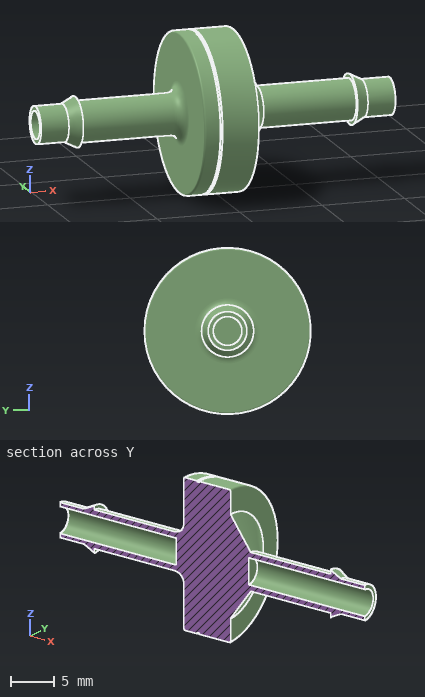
import cadquery as cq

length = 42.95

tip_radius = 4.45 / 2
stem_radius = 4.95 / 2
barb_radius = 6.0 / 2
bore_radius = 3.3 / 2
tip_length = 3.35
barb_length = 1.5
bore_depth = 16.3

flange_radius = 19.2 / 2
flange_start = -4.08
flange_width = 6.65
edge_round = 0.25
seam_offset = 1.95
seam_width = 0.25
seam_depth = 0.15
stem_fillet = 1.3
cone_radius = 6.53
cone_length = 2.85

half_length = length / 2
barb_tip = half_length - tip_length
barb_back = barb_tip - barb_length
flange_end = flange_start + flange_width
cone_end = flange_end + cone_length
seam_start = flange_start + seam_offset
seam_end = seam_start + seam_width
seam_floor = flange_radius - seam_depth


def revolve_about_x(profile):
    """Revolve a closed profile, drawn as (X, radius), about the X axis."""
    return profile.close().revolve(360, (0, 0, 0), (1, 0, 0))


def make_stem(root):
    """Barbed stem from X = root to the right end of the part."""
    return revolve_about_x(
        cq.Workplane("XY")
        .moveTo(root, 0)
        .lineTo(root, stem_radius)
        .lineTo(barb_back, stem_radius)
        .lineTo(barb_back, barb_radius)
        .lineTo(barb_tip, tip_radius)
        .lineTo(half_length, tip_radius)
        .lineTo(half_length, 0)
    )


def make_housing():
    """Disc with rounded rims, a fillet on its left face and a cone on its right."""
    body = cq.Workplane("YZ", origin=(flange_start, 0, 0)).circle(flange_radius).extrude(flange_width)
    body = body.edges("%CIRCLE").fillet(edge_round)
    cone = revolve_about_x(
        cq.Workplane("XY")
        .moveTo(flange_end, 0)
        .lineTo(flange_end, cone_radius)
        .lineTo(cone_end, stem_radius)
        .lineTo(cone_end, 0)
    )
    fillet_start = flange_start - stem_fillet
    fillet_ring = revolve_about_x(
        cq.Workplane("XY")
        .moveTo(fillet_start, 0)
        .lineTo(fillet_start, stem_radius)
        .radiusArc((flange_start, stem_radius + stem_fillet), -stem_fillet)
        .lineTo(flange_start, 0)
    )
    return body.union(cone).union(fillet_ring)


def make_seam():
    """Square-cut ring to cut around the rim where the two housing halves meet."""
    return revolve_about_x(
        cq.Workplane("XY")
        .moveTo(seam_start, flange_radius)
        .lineTo(seam_start, seam_floor)
        .lineTo(seam_end, seam_floor)
        .lineTo(seam_end, flange_radius)
    )


def make_bore():
    """Flat-bottomed bore entering from the right end."""
    return cq.Workplane("YZ", origin=(half_length, 0, 0)).circle(bore_radius).extrude(-bore_depth)


right_stem = make_stem(flange_end)
left_stem = make_stem(-flange_start).mirror("YZ")
right_bore = make_bore()
left_bore = right_bore.mirror("YZ")

result = make_housing().union(right_stem).union(left_stem)
result = result.cut(make_seam()).cut(right_bore).cut(left_bore)